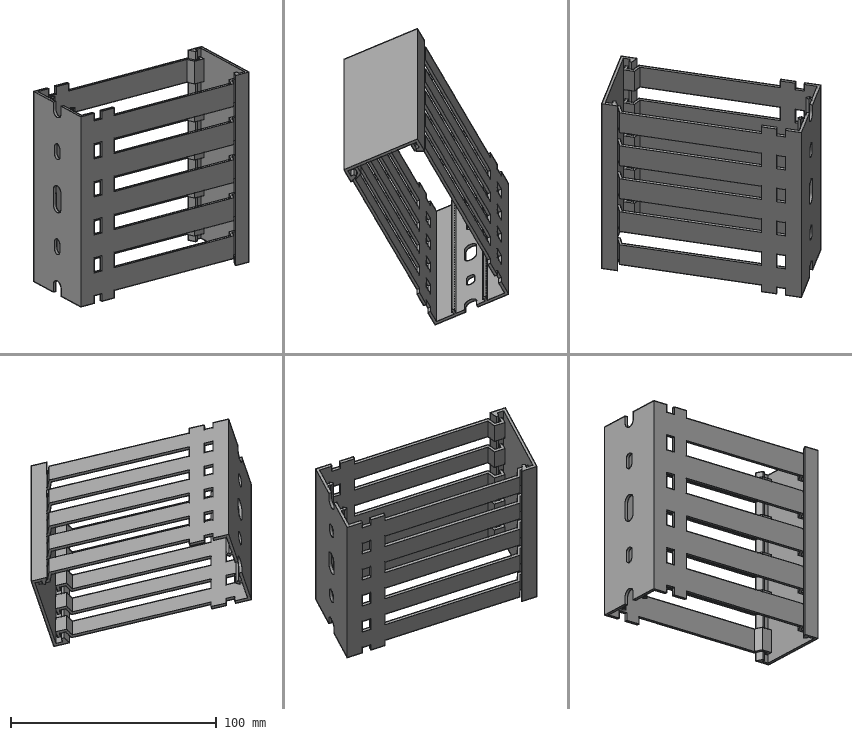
import cadquery as cq

WIDTH = 40.0
DEPTH = 100.0
LENGTH = 100.0
HALF_WIDTH = WIDTH / 2
BACK_Y = -DEPTH / 2
LID_Y = DEPTH / 2

WALL = 1.5
WALL_BEND_Y = LID_Y - 9.0
HOOK_INSET = 4.0
HOOK_BEND_Y = LID_Y - 7.2
BEND_DROP = 0.8
HOOK_TOP_Y = LID_Y - 2.5
ARM_END_INSET = 2.0

RIB_X = 8.5
RIB_STEM_WIDTH = 1.2
RIB_HEAD_WIDTH = 2.5
RIB_HEAD_Y = BACK_Y + 2.9
RIB_TIP_Y = BACK_Y + 4.6

OPENING_PITCH = 20.0
OPENING_HEIGHT = 8.0
OPENING_COUNT = int(LENGTH / OPENING_PITCH) + 1
SLOT_START_Y = BACK_Y + 20.0
WINDOW_START_Y = BACK_Y + 8.0
WINDOW_END_Y = BACK_Y + 12.5

LARGE_SLOT_LENGTH = 14.0
LARGE_SLOT_WIDTH = 6.5
SMALL_SLOT_LENGTH = 8.0
SMALL_SLOT_WIDTH = 4.6
LARGE_SLOT_HEIGHTS = (-LENGTH / 2, 0, LENGTH / 2)
SMALL_SLOT_HEIGHTS = (-LENGTH / 4, LENGTH / 4)

LID_THICKNESS = 1.5
SKIRT_END_Y = LID_Y - 8.0
BARB_TOP_Y = LID_Y - 4.8
BARB_TOP_INSET = 3.2
BARB_TIP_INSET = 3.7
BARB_TIP_Y = LID_Y - 6.2


def extrude_symmetric(left_half):
    """Mirror an outline that runs from X = 0 back to X = 0 and extrude it along Z."""
    right_half = [(-x, y) for x, y in reversed(left_half) if x != 0]
    outline = cq.Workplane("XY").polyline(left_half + right_half).close()
    return outline.extrude(LENGTH / 2, both=True)


def trough_shell():
    outer = -HALF_WIDTH
    inner = outer + WALL
    hook_outer = outer + HOOK_INSET
    hook_inner = hook_outer + WALL
    arm_end = outer + ARM_END_INSET
    arm_under_y = HOOK_TOP_Y - WALL
    return extrude_symmetric([
        (0, BACK_Y),
        (outer, BACK_Y),
        (outer, WALL_BEND_Y),
        (hook_outer, HOOK_BEND_Y),
        (hook_outer, arm_under_y),
        (arm_end, arm_under_y),
        (arm_end, HOOK_TOP_Y),
        (hook_inner, HOOK_TOP_Y),
        (hook_inner, HOOK_BEND_Y - BEND_DROP),
        (inner, WALL_BEND_Y - BEND_DROP),
        (inner, BACK_Y + WALL),
        (0, BACK_Y + WALL),
    ])


def retaining_rib(x):
    """Arrow-headed rib that stands on the inside of the back panel."""
    half_stem = RIB_STEM_WIDTH / 2
    half_head = RIB_HEAD_WIDTH / 2
    root_y = BACK_Y + WALL / 2
    outline = cq.Workplane("XY").polyline([
        (x - half_stem, root_y),
        (x - half_stem, RIB_HEAD_Y),
        (x - half_head, RIB_HEAD_Y),
        (x, RIB_TIP_Y),
        (x + half_head, RIB_HEAD_Y),
        (x + half_stem, RIB_HEAD_Y),
        (x + half_stem, root_y),
    ]).close()
    return outline.extrude(LENGTH / 2, both=True)


def side_opening(start_y, end_y, z):
    """Block that cuts one rectangular opening through both side walls."""
    centre = (0, (start_y + end_y) / 2, z)
    return cq.Workplane("XY", origin=centre).box(WIDTH, end_y - start_y, OPENING_HEIGHT)


def mounting_slot(length, width, z):
    """Round-ended cutter through the back panel, long along Z."""
    slot = cq.Workplane("XZ", origin=(0, BACK_Y, z)).slot2D(length, width, angle=90)
    return slot.extrude(-WALL)


def make_trough():
    trough = trough_shell()
    for x in (-RIB_X, RIB_X):
        trough = trough.union(retaining_rib(x))
    for index in range(OPENING_COUNT):
        z = -LENGTH / 2 + index * OPENING_PITCH
        trough = trough.cut(side_opening(SLOT_START_Y, LID_Y, z))
        trough = trough.cut(side_opening(WINDOW_START_Y, WINDOW_END_Y, z))
    for z in LARGE_SLOT_HEIGHTS:
        trough = trough.cut(mounting_slot(LARGE_SLOT_LENGTH, LARGE_SLOT_WIDTH, z))
    for z in SMALL_SLOT_HEIGHTS:
        trough = trough.cut(mounting_slot(SMALL_SLOT_LENGTH, SMALL_SLOT_WIDTH, z))
    return trough


def make_lid():
    outer = -HALF_WIDTH
    inner = outer + LID_THICKNESS
    return extrude_symmetric([
        (0, LID_Y),
        (outer, LID_Y),
        (outer, SKIRT_END_Y),
        (outer + BARB_TIP_INSET, BARB_TIP_Y),
        (outer + BARB_TOP_INSET, BARB_TOP_Y),
        (inner, BARB_TOP_Y),
        (inner, LID_Y - LID_THICKNESS),
        (0, LID_Y - LID_THICKNESS),
    ])


trough = make_trough()
lid = make_lid()
result = cq.Compound.makeCompound([trough.val(), lid.val()])